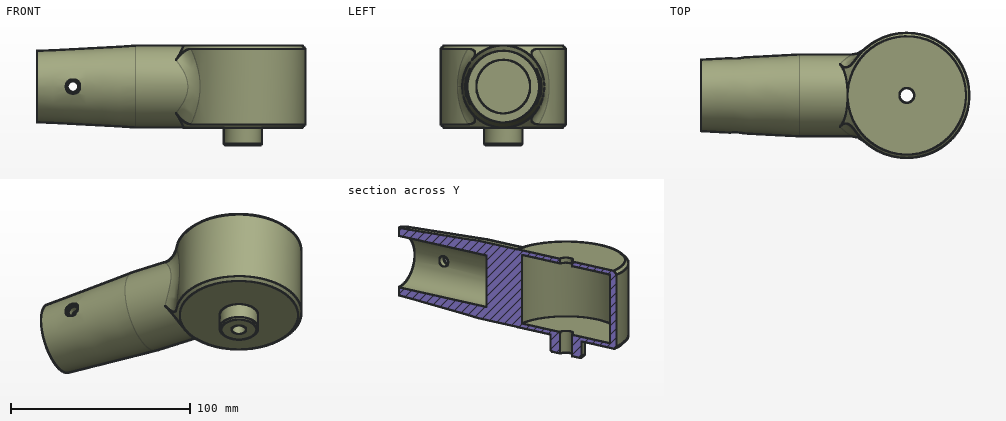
import cadquery as cq

total_length = 150.0
head_diameter = 70.0
head_height = 46.0
head_chamfer = 2.0
head_wall = 5.0
head_cover = 3.0
handle_diameter = 45.9
handle_end_diameter = 40.0
taper_length = 55.0
blend_radius = 10.0
pin_diameter = 21.6
pin_length = 9.9
pin_chamfer = 1.0
center_hole_diameter = 8.1
bore_diameter = 30.0
bore_depth = 60.0
cross_hole_x = 20.1
cross_hole_diameter = 6.0
counterbore_diameter = 8.1
counterbore_depth = 2.0

head_radius = head_diameter / 2
head_x = total_length - head_radius
head_top_z = head_height / 2
head_bottom_z = -head_top_z
handle_radius = handle_diameter / 2


def make_handle():
    """Tapered grip running into a straight cylinder that ends on the head axis."""
    profile = [
        (0, 0),
        (0, handle_end_diameter / 2),
        (taper_length, handle_radius),
        (head_x, handle_radius),
        (head_x, 0),
    ]
    return cq.Workplane("XY").polyline(profile).close().revolve(360, (0, 0, 0), (1, 0, 0))


def make_upright_cylinder(diameter, base_z, height):
    """Solid cylinder on the head axis; a negative height runs downwards."""
    return cq.Workplane("XY", origin=(head_x, 0, base_z)).circle(diameter / 2).extrude(height)


def make_bevel_envelope():
    """Two cones, base to base, whose sloping walls are the 45-degree bevels of the head."""
    face_radius = head_radius - head_chamfer
    profile = [
        (0, head_bottom_z),
        (face_radius, head_bottom_z),
        (face_radius + head_top_z, 0),
        (face_radius, head_top_z),
        (0, head_top_z),
    ]
    envelope = cq.Workplane("XZ").polyline(profile).close().revolve(360, (0, 0, 0), (0, 1, 0))
    return envelope.translate((head_x, 0, 0))


def make_blended_head(handle):
    """Drum joined to the handle by a round fillet, with both rims bevelled.

    The bevels also trim the fillet; the handle is then restored to its full length.
    """
    joined = make_upright_cylinder(head_diameter, head_bottom_z, head_height).union(handle)
    blended = joined.edges(cq.selectors.TypeSelector("BSPLINE")).fillet(blend_radius)
    return blended.intersect(make_bevel_envelope()).union(handle)


def make_pin():
    """Short locating pin below the head."""
    pin = make_upright_cylinder(pin_diameter, head_bottom_z, -pin_length)
    return pin.faces("<Z").chamfer(pin_chamfer)


def make_cross_hole():
    """Hole across the handle, with a flat-bottomed counterbore at each mouth."""
    hole = cq.Workplane("XZ").circle(cross_hole_diameter / 2).extrude(handle_radius, both=True)
    wall_slope = (handle_radius - handle_end_diameter / 2) / taper_length
    mouth_y = handle_end_diameter / 2 + wall_slope * cross_hole_x
    seat_y = mouth_y - counterbore_depth
    seat_plane = cq.Workplane("XZ", origin=(0, -seat_y, 0))
    counterbore = seat_plane.circle(counterbore_diameter / 2).extrude(handle_radius - seat_y)
    return hole.union(counterbore).union(counterbore.mirror("XZ")).translate((cross_hole_x, 0, 0))


def make_cavity():
    """Closed round hollow inside the head, with equally thick roof and floor."""
    cavity_diameter = head_diameter - 2 * head_wall
    cavity_height = head_height - 2 * head_cover
    return make_upright_cylinder(cavity_diameter, head_bottom_z + head_cover, cavity_height)


bore = cq.Workplane("YZ").circle(bore_diameter / 2).extrude(bore_depth)
center_hole = make_upright_cylinder(center_hole_diameter, head_top_z, -(head_height + pin_length))

result = (
    make_blended_head(make_handle())
    .union(make_pin())
    .cut(bore)
    .cut(make_cross_hole())
    .cut(make_cavity())
    .cut(center_hole)
)